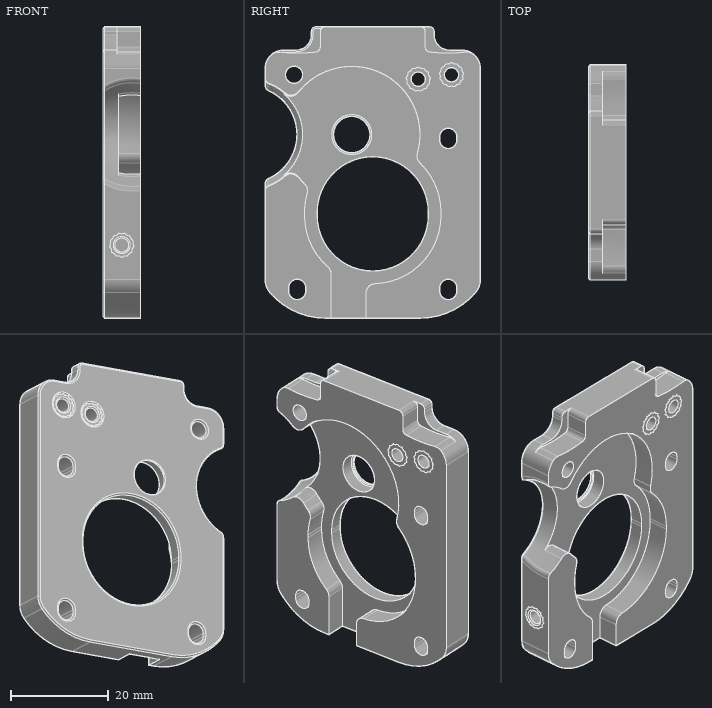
import cadquery as cq
import math

THICKNESS = 7.7
WIDTH = 44.2
HEIGHT = 59.85
FRONT_X = -THICKNESS / 2
BACK_X = THICKNESS / 2
HALF_WIDTH = WIDTH / 2
TOP_Z = HEIGHT / 2
BOTTOM_Z = -HEIGHT / 2
EDGE_CHAMFER = 0.35
CHAMFER_ANGLE = 45
SELECT_MARGIN = 0.05

TAB_HALF_WIDTH = 12.6
TAB_CORNER_RADIUS = 1.0
SHOULDER_Z = 25.15
SHOULDER_INNER_RADIUS = 3.1
SHOULDER_OUTER_RADIUS = 3.85
BOTTOM_FLAT_HALF = 9.7
BOTTOM_ARC_RADIUS = 15.0
BOTTOM_CORNER_RADIUS = 4.0

RELIEF_START = 2.9
RELIEF_WALL_Y = 10.8
RELIEF_FLOOR_Z = 24.5
RELIEF_FLOOR_Y = 15.45
RELIEF_FLOOR_RADIUS = 29.9
RELIEF_INNER_FILLET = 1.0
RELIEF_OUTER_FILLET = 2.0

SLOT_TRAVEL = 0.65
BORE_DIAMETER = 22.75
BORE_Z = -8.5
MOTOR_SCREW_SPACING = 31.0

POCKET_START = 3.25
MOTOR_POCKET_RADIUS = 14.0
GEAR_POCKET_RADIUS = 14.0
POCKET_FILLET = 2.0
CHANNEL_INNER_Y = -1.4
CHANNEL_WIDTH = 7.2

SHAFT_Y = -4.3
SHAFT_Z = 7.8
SHAFT_LIP_DIAMETER = 7.4
SHAFT_SEAT_DIAMETER = 8.2
SHAFT_LIP = 0.5

NOTCH_RADIUS = 11.4
NOTCH_Y = -25.45
NOTCH_DEPTH = 6.0
NOTCH_RIM_FILLET = 1.0

SCREW_DIAMETER = 3.5
SCREW_MOUTH_DIAMETER = 4.25
TOP_HOLE_Y = 16.15
TOP_HOLE_Z = 20.05

INSERT_BORE = 2.9
INSERT_MOUTH = 3.5
INSERT_ROOT_DIAMETER = 4.6
INSERT_TIP_DIAMETER = 5.0
INSERT_TEETH = 13
INSERT_RECESS = 0.2
INSERT_LENGTH = THICKNESS - INSERT_RECESS
INSERT_SINK_DIAMETER = 5.45
INNER_INSERT_Y = 9.35
INNER_INSERT_Z = 19.15
FRONT_INSERT_CENTERS = [(TOP_HOLE_Y, TOP_HOLE_Z), (INNER_INSERT_Y, INNER_INSERT_Z)]
SIDE_INSERT_Z = -14.9


def face_plane(depth, y=0.0, z=0.0):
    """Plane at a depth behind the front face: local x is +Y, local y is +Z, normal is +X."""
    return cq.Workplane(cq.Plane(origin=(FRONT_X + depth, y, z), xDir=(0, 1, 0), normal=(1, 0, 0)))


def slab(start, end):
    """One layer of the plate outline between two depths."""
    outer_y = HALF_WIDTH - SHOULDER_OUTER_RADIUS
    arc_center_z = BOTTOM_Z + BOTTOM_ARC_RADIUS
    side_angle = math.acos((HALF_WIDTH - BOTTOM_FLAT_HALF) / BOTTOM_ARC_RADIUS)
    mid_angle = (side_angle + math.pi / 2) / 2
    side_z = arc_center_z - BOTTOM_ARC_RADIUS * math.sin(side_angle)
    mid_y = BOTTOM_FLAT_HALF + BOTTOM_ARC_RADIUS * math.cos(mid_angle)
    mid_z = arc_center_z - BOTTOM_ARC_RADIUS * math.sin(mid_angle)
    half = (
        face_plane(start)
        .moveTo(0, TOP_Z)
        .lineTo(TAB_HALF_WIDTH - TAB_CORNER_RADIUS, TOP_Z)
        .radiusArc((TAB_HALF_WIDTH, TOP_Z - TAB_CORNER_RADIUS), TAB_CORNER_RADIUS)
        .lineTo(TAB_HALF_WIDTH, SHOULDER_Z + SHOULDER_INNER_RADIUS)
        .radiusArc((TAB_HALF_WIDTH + SHOULDER_INNER_RADIUS, SHOULDER_Z), -SHOULDER_INNER_RADIUS)
        .lineTo(outer_y, SHOULDER_Z)
        .radiusArc((HALF_WIDTH, SHOULDER_Z - SHOULDER_OUTER_RADIUS), SHOULDER_OUTER_RADIUS)
        .lineTo(HALF_WIDTH, side_z)
        .threePointArc((mid_y, mid_z), (BOTTOM_FLAT_HALF, BOTTOM_Z))
        .lineTo(0, BOTTOM_Z)
        .close()
        .extrude(end - start)
    )
    corner = cq.selectors.NearestToPointSelector((FRONT_X + (start + end) / 2, HALF_WIDTH, side_z))
    half = half.edges("|X").edges(corner).fillet(BOTTOM_CORNER_RADIUS)
    return half.union(half.mirror("XZ")).clean()


def shoulder_relief(side):
    """Cutter that lowers one shoulder of the back layer to a shallow hollow floor."""
    def floor_z(y):
        rise = RELIEF_FLOOR_RADIUS**2 - (y - RELIEF_FLOOR_Y) ** 2
        return RELIEF_FLOOR_Z + RELIEF_FLOOR_RADIUS - math.sqrt(rise)

    above = TOP_Z + EDGE_CHAMFER
    return (
        face_plane(RELIEF_START)
        .moveTo(side * RELIEF_WALL_Y, above)
        .lineTo(side * RELIEF_WALL_Y, floor_z(RELIEF_WALL_Y))
        .threePointArc((side * RELIEF_FLOOR_Y, RELIEF_FLOOR_Z), (side * HALF_WIDTH, floor_z(HALF_WIDTH)))
        .lineTo(side * HALF_WIDTH, above)
        .close()
        .extrude(THICKNESS - RELIEF_START)
    )


def back_layer():
    layer = slab(RELIEF_START, THICKNESS)
    mid_x = FRONT_X + (RELIEF_START + THICKNESS) / 2
    for side in (1, -1):
        layer = layer.cut(shoulder_relief(side))
        for y, z, radius in (
            (RELIEF_WALL_Y, TOP_Z, TAB_CORNER_RADIUS),
            (RELIEF_WALL_Y, RELIEF_FLOOR_Z, RELIEF_INNER_FILLET),
            (HALF_WIDTH - SHOULDER_OUTER_RADIUS / 2, RELIEF_FLOOR_Z, RELIEF_OUTER_FILLET),
        ):
            corner = cq.selectors.NearestToPointSelector((mid_x, side * y, z))
            layer = layer.edges("|X").edges(corner).fillet(radius)
    return layer


def slot(depth, length, diameter, y, z):
    return face_plane(depth, y, z).slot2D(diameter + SLOT_TRAVEL, diameter, 90).extrude(length)


def chamfered_slot(diameter, mouth_diameter, y, z):
    """Through slot whose front edge is chamfered."""
    size = (mouth_diameter - diameter) / 2
    mouth = face_plane(0, y, z).slot2D(mouth_diameter + SLOT_TRAVEL, mouth_diameter, 90)
    mouth = mouth.extrude(size, taper=CHAMFER_ANGLE)
    return slot(0, THICKNESS, diameter, y, z).union(mouth)


def cylinder(depth, diameter, y, z):
    """Cutter from a depth through to the back face."""
    return face_plane(depth, y, z).circle(diameter / 2).extrude(THICKNESS - depth)


def countersink(mouth_diameter, hole_diameter, y, z):
    """Chamfer cutter that narrows from the front face to the hole."""
    size = (mouth_diameter - hole_diameter) / 2
    return face_plane(0, y, z).circle(mouth_diameter / 2).extrude(size, taper=CHAMFER_ANGLE)


def back_pocket():
    """Cutter for the pocket; its inner corners leave rounded points on the plate."""
    depth = THICKNESS - POCKET_START
    motor = slot(POCKET_START, depth, 2 * MOTOR_POCKET_RADIUS, 0, BORE_Z)
    gear = face_plane(POCKET_START, SHAFT_Y, SHAFT_Z).circle(GEAR_POCKET_RADIUS).extrude(depth)
    channel_outer_y = CHANNEL_INNER_Y - CHANNEL_WIDTH
    channel_height = BORE_Z - BOTTOM_Z
    channel = (
        face_plane(POCKET_START, (CHANNEL_INNER_Y + channel_outer_y) / 2, BOTTOM_Z + channel_height / 2)
        .rect(CHANNEL_WIDTH, channel_height)
        .extrude(depth)
    )
    pocket = motor.union(gear).union(channel)
    motor_bottom_z = BORE_Z - MOTOR_POCKET_RADIUS
    for y, z in (
        (MOTOR_POCKET_RADIUS, 0),
        (-MOTOR_POCKET_RADIUS, 0),
        (CHANNEL_INNER_Y, motor_bottom_z),
        (channel_outer_y, motor_bottom_z),
    ):
        corner = cq.selectors.NearestToPointSelector((BACK_X - depth / 2, y, z))
        pocket = pocket.edges("|X").edges(corner).fillet(POCKET_FILLET)
    return pocket


def insert_prism(plane):
    """Toothed outer shape of an insert."""
    points = []
    for i in range(2 * INSERT_TEETH):
        diameter = INSERT_TIP_DIAMETER if i % 2 == 0 else INSERT_ROOT_DIAMETER
        angle = math.pi / 2 + i * math.pi / INSERT_TEETH
        points.append((diameter / 2 * math.cos(angle), diameter / 2 * math.sin(angle)))
    return cq.Workplane(plane).polyline(points).close().extrude(INSERT_LENGTH)


def threaded_insert(plane):
    bore = cq.Workplane(plane).circle(INSERT_BORE / 2).extrude(INSERT_LENGTH)
    mouth = cq.Workplane(plane).circle(INSERT_MOUTH / 2)
    mouth = mouth.extrude((INSERT_MOUTH - INSERT_BORE) / 2, taper=CHAMFER_ANGLE)
    return insert_prism(plane).cut(bore).cut(mouth)


insert_planes = [face_plane(INSERT_RECESS, y, z).plane for y, z in FRONT_INSERT_CENTERS]
insert_planes.append(
    cq.Plane(origin=(0, -HALF_WIDTH, SIDE_INSERT_Z), xDir=(1, 0, 0), normal=(0, 1, 0))
)


def notch_edges(front_x, outer_y, inner_y):
    """Selector for the edges along the notch, from a depth to just short of the back face."""
    return cq.selectors.BoxSelector(
        (front_x, outer_y, SHAFT_Z - NOTCH_RADIUS),
        (BACK_X - SELECT_MARGIN, inner_y, SHAFT_Z + NOTCH_RADIUS),
    )


def plate_blank():
    """Plate outline with its notch, the notch's rounded rim and the chamfered front edge."""
    notch = cq.Workplane("XY").sphere(NOTCH_RADIUS)
    notch = notch.translate((FRONT_X + NOTCH_DEPTH, NOTCH_Y, SHAFT_Z))
    blank = slab(0, RELIEF_START).union(back_layer(), clean=False).cut(notch).clean()
    rim = notch_edges(FRONT_X + SELECT_MARGIN, -HALF_WIDTH - SELECT_MARGIN, -HALF_WIDTH + SELECT_MARGIN)
    return blank.edges(rim).fillet(NOTCH_RIM_FILLET).faces("<X").edges().chamfer(EDGE_CHAMFER)


def cut_pocket(body):
    """Cut the back pocket and round the two edges where it opens into the notch."""
    body = body.cut(back_pocket())
    opening = notch_edges(
        FRONT_X + POCKET_START + SELECT_MARGIN,
        -HALF_WIDTH + SELECT_MARGIN,
        NOTCH_Y + NOTCH_RADIUS,
    )
    return body.edges(opening).fillet(POCKET_FILLET)


def cut_motor_mount(body):
    """Cut the motor bore and its screw slots; the notch side has no upper slot."""
    body = body.cut(chamfered_slot(BORE_DIAMETER, BORE_DIAMETER + 2 * EDGE_CHAMFER, 0, BORE_Z))
    offset = MOTOR_SCREW_SPACING / 2
    for y, z in ((offset, offset), (offset, -offset), (-offset, -offset)):
        body = body.cut(chamfered_slot(SCREW_DIAMETER, SCREW_MOUTH_DIAMETER, y, BORE_Z + z))
    return body


def cut_round_holes(body):
    """Cut the stepped shaft hole, the plain screw hole and the countersinks of the front inserts."""
    body = body.cut(cylinder(0, SHAFT_LIP_DIAMETER, SHAFT_Y, SHAFT_Z))
    body = body.cut(cylinder(SHAFT_LIP, SHAFT_SEAT_DIAMETER, SHAFT_Y, SHAFT_Z))
    body = body.cut(cylinder(0, SCREW_DIAMETER, -TOP_HOLE_Y, TOP_HOLE_Z))
    body = body.cut(countersink(SCREW_MOUTH_DIAMETER, SCREW_DIAMETER, -TOP_HOLE_Y, TOP_HOLE_Z))
    for y, z in FRONT_INSERT_CENTERS:
        body = body.cut(countersink(INSERT_SINK_DIAMETER, INSERT_ROOT_DIAMETER, y, z))
    return body


plate = cut_round_holes(cut_motor_mount(cut_pocket(plate_blank())))
inserts = []
for plane in insert_planes:
    plate = plate.cut(insert_prism(plane))
    inserts.append(threaded_insert(plane).val())

result = cq.Compound.makeCompound([plate.val(), *inserts])